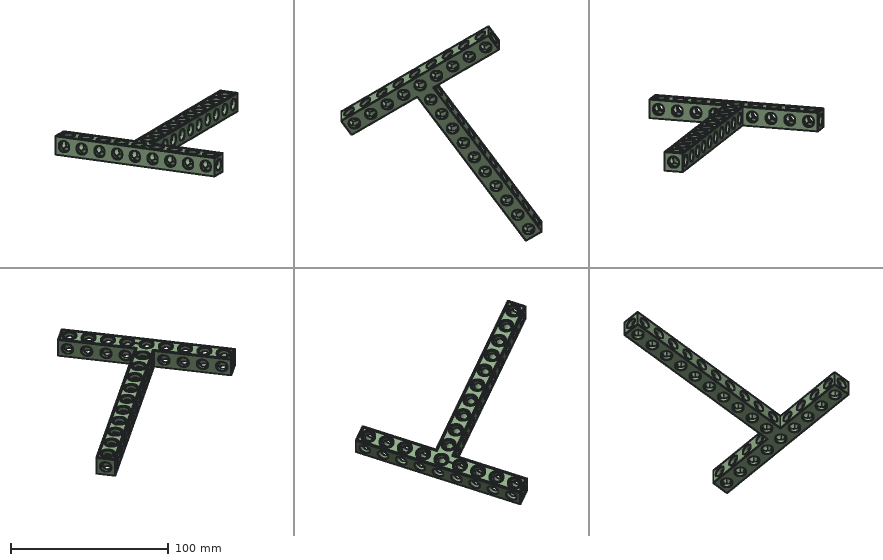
import cadquery as cq
bar_count = 9
stem_count = 11
overall_length = 137.5
pitch = overall_length / stem_count
beam_width = pitch
bar_length = bar_count * pitch

hole_diameter = 7.0
edge_chamfer = 0.3

collar_diameter = 9.2
rim_width = 1.1
recess_depth = 0.2
web_width = 0.2

bar_columns = [(i - (bar_count - 1) / 2) * pitch for i in range(bar_count)]
stem_rows = [i * pitch for i in range(stem_count)]


def tee(inset, height):
    """T-shaped plate standing on Z = 0, its outline drawn in by `inset` all round."""
    thickness = beam_width - 2 * inset
    bar = cq.Workplane("XY").box(
        bar_length - 2 * inset, thickness, height, centered=(True, True, False)
    )
    stem = (
        cq.Workplane("XY")
        .center(0, (overall_length - beam_width) / 2)
        .box(thickness, overall_length - 2 * inset, height, centered=(True, True, False))
    )
    return bar.union(stem).clean()


def upright_cylinders(diameter, height):
    """Upright cylinders from Z = 0 at every grid point of the T."""
    points = [(x, 0) for x in bar_columns] + [(0, y) for y in stem_rows if y > 0]
    return cq.Workplane("XY").pushPoints(points).circle(diameter / 2).extrude(height)


def level_holes(plane, positions):
    """Holes at mid height, square to the plane, through the whole part."""
    return (
        cq.Workplane(plane, origin=(0, 0, beam_width / 2))
        .pushPoints([(position, 0) for position in positions])
        .circle(hole_diameter / 2)
        .extrude(overall_length, both=True)
    )


def top_recess():
    """Recess inside the rim, around the collars, split by a web right of the central collar."""
    web = cq.Workplane("XY").center(pitch / 2, 0).box(pitch, web_width, 2 * recess_depth)
    recess = tee(rim_width, recess_depth)
    recess = recess.cut(upright_cylinders(collar_diameter, recess_depth)).cut(web)
    return recess.translate((0, 0, beam_width - recess_depth))


beam = (
    tee(0, beam_width)
    .cut(upright_cylinders(hole_diameter, beam_width))
    .cut(level_holes("XZ", bar_columns))
    .cut(level_holes("YZ", stem_rows))
)

outer_edges = beam.faces("|X or |Y or |Z").edges()
inside_corners = beam.edges(
    cq.selectors.BoxSelector(
        (-0.6 * beam_width, 0.4 * beam_width, 0.4 * beam_width),
        (0.6 * beam_width, 0.6 * beam_width, 0.6 * beam_width),
    )
).edges("|Z")
chamfered_edges = [edge for edge in outer_edges.vals() if edge not in inside_corners.vals()]
result = beam.newObject(chamfered_edges).chamfer(edge_chamfer).cut(top_recess())